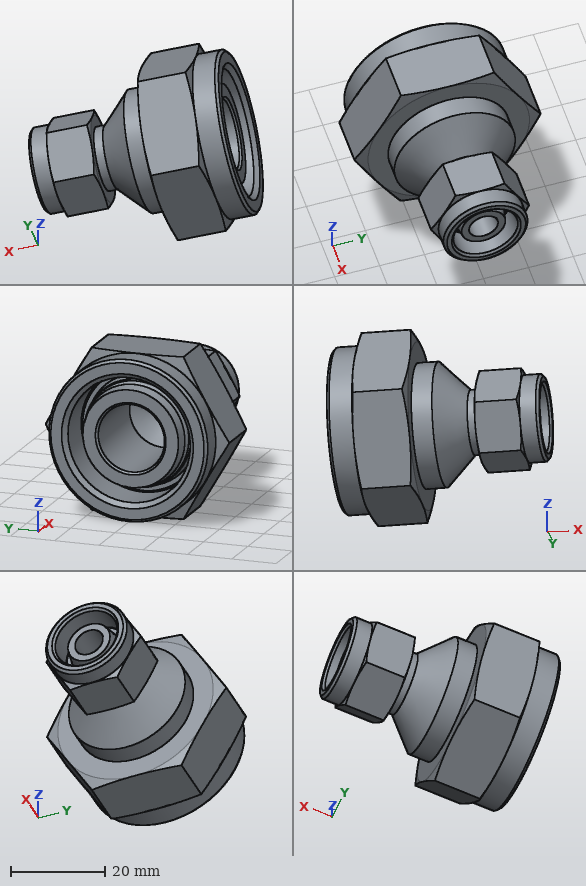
import cadquery as cq
import math

total_length = 44.3
hex_chamfer_angle = math.radians(15)
blank_margin = 0.45
seal_cone_angle = math.radians(12)
bore_cone_angle = math.radians(59)

large_nut_length = 17.6
large_collar_length = 5.55
large_hex_apothem = 18.0
large_collar_radius = 17.95
large_thread_radius = 13.8
large_mouth_chamfer = 1.05

small_nut_length = 13.8
small_collar_length = 4.1
small_hex_apothem = 9.5
small_collar_radius = 9.4
small_thread_radius = 7.18
small_mouth_chamfer = 0.55

collar_chamfer = 0.6

end_setback = 2.0
shoulder_radius = 13.45
neck_radius = 7.0
taper_start = 22.0
taper_end = taper_start + shoulder_radius - neck_radius
large_face_radius = 10.8
large_cone_length = 7.25
small_face_radius = 4.87
small_cone_length = 4.45
large_bore_radius = 7.5
large_bore_chamfer = 0.5
small_bore_radius = 3.25

groove_start = 4.5
groove_width = 2.4
groove_floor_radius = 9.95
bead_radius = 0.97

large_shoulder_x = end_setback + large_cone_length
small_end_x = total_length - end_setback
small_shoulder_x = small_end_x - small_cone_length


def revolve_about_x(points):
    """Solid of revolution from a closed outline of (x, radius) points."""
    return cq.Workplane("XY").polyline(points).close().revolve(360, (0, 0, 0), (1, 0, 0))


def chamfered_hex(apothem, start, end):
    """Hexagonal prism with flats on +Z and -Z and its corners turned off at both ends."""
    corner_radius = apothem / math.cos(math.pi / 6)
    prism = (
        cq.Workplane("YZ", origin=(start, 0, 0))
        .polygon(6, 2 * corner_radius)
        .extrude(end - start)
    )
    blank_radius = corner_radius + blank_margin
    chamfer_length = (blank_radius - apothem) * math.tan(hex_chamfer_angle)
    turned_blank = revolve_about_x([
        (start, 0),
        (start, apothem),
        (start + chamfer_length, blank_radius),
        (end - chamfer_length, blank_radius),
        (end, apothem),
        (end, 0),
    ])
    return prism.intersect(turned_blank)


def make_nut(length, collar_length, apothem, collar_radius,
             thread_radius, mouth_chamfer, ledge_depth, back_radius):
    """Swivel nut with its open mouth at X = 0 and its hexagon towards +X."""
    hexagon = chamfered_hex(apothem, collar_length, length)
    collar = revolve_about_x([
        (0, 0),
        (0, collar_radius - collar_chamfer),
        (collar_chamfer, collar_radius),
        (collar_length, collar_radius),
        (collar_length, 0),
    ])
    bore = revolve_about_x([
        (0, 0),
        (0, thread_radius + mouth_chamfer),
        (mouth_chamfer, thread_radius),
        (ledge_depth, thread_radius),
        (ledge_depth, back_radius),
        (length, back_radius),
        (length, 0),
    ])
    return hexagon.union(collar).cut(bore)


def make_large_nut():
    return make_nut(large_nut_length, large_collar_length, large_hex_apothem, large_collar_radius,
                    large_thread_radius, large_mouth_chamfer, large_shoulder_x, shoulder_radius)


def make_small_nut():
    """Small nut, turned round so that its mouth faces +X."""
    nut = make_nut(small_nut_length, small_collar_length, small_hex_apothem, small_collar_radius,
                   small_thread_radius, small_mouth_chamfer,
                   total_length - small_shoulder_x, neck_radius)
    return nut.rotate((0, 0, 0), (0, 0, 1), 180).translate((total_length, 0, 0))


def large_cone_radius(x):
    """Radius of the large sealing cone at a place along the axis."""
    return large_face_radius + (x - end_setback) * math.tan(seal_cone_angle)


def make_body_outside():
    return revolve_about_x([
        (end_setback, 0),
        (end_setback, large_face_radius),
        (large_shoulder_x, large_cone_radius(large_shoulder_x)),
        (large_shoulder_x, shoulder_radius),
        (taper_start, shoulder_radius),
        (taper_end, neck_radius),
        (small_shoulder_x, neck_radius),
        (small_shoulder_x, small_face_radius + small_cone_length * math.tan(seal_cone_angle)),
        (small_end_x, small_face_radius),
        (small_end_x, 0),
    ])


def make_body_bore():
    bore_cone_end = taper_start + (large_bore_radius - small_bore_radius) / math.tan(bore_cone_angle)
    return revolve_about_x([
        (end_setback, 0),
        (end_setback, large_bore_radius + large_bore_chamfer),
        (end_setback + large_bore_chamfer, large_bore_radius),
        (taper_start, large_bore_radius),
        (bore_cone_end, small_bore_radius),
        (small_end_x, small_bore_radius),
        (small_end_x, 0),
    ])


def make_seal_groove():
    groove_end = groove_start + groove_width
    return revolve_about_x([
        (groove_start, groove_floor_radius),
        (groove_start, large_cone_radius(groove_start)),
        (groove_end, large_cone_radius(groove_end)),
        (groove_end, groove_floor_radius),
    ])


def make_seal_bead():
    """Round bead, sunk slightly into the groove floor so that it is one with the body."""
    bead_sink = 0.18
    centre_x = groove_start + groove_width / 2
    centre_radius = groove_floor_radius + bead_radius - bead_sink
    return (
        cq.Workplane("XY")
        .center(centre_x, centre_radius)
        .circle(bead_radius)
        .revolve(360, (0, -centre_radius, 0), (1, -centre_radius, 0))
    )


def make_body():
    return make_body_outside().cut(make_seal_groove()).union(make_seal_bead()).cut(make_body_bore())


body = make_body()
large_nut = make_large_nut()
small_nut = make_small_nut()

result = cq.Compound.makeCompound([body.val(), large_nut.val(), small_nut.val()])